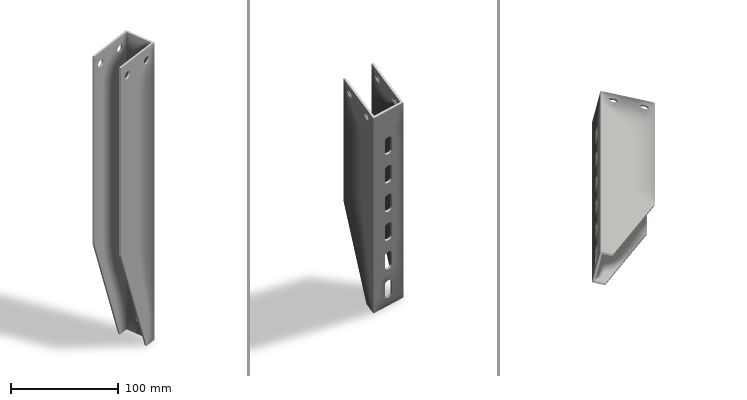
import cadquery as cq

height = 340.0
width = 33.0
depth = 52.0
thickness = 2.0

toe_depth = 12.2
taper_height = 125.0

slot_count = 6
slot_length = 30.0
slot_width = 7.5
slot_pitch = 50.0
lowest_slot_z = 29.0

hole_diameter = 8.0
hole_drop = 13.5
first_hole_setback = 12.2
hole_spacing = 30.0

back_y = depth / 2
front_y = -depth / 2


def channel():
    """Side outline extruded across the width, with the inside removed."""
    outline = [
        (back_y, 0),
        (back_y, height),
        (front_y, height),
        (front_y, taper_height),
        (back_y - toe_depth, 0),
    ]
    body = cq.Workplane("YZ").polyline(outline).close().extrude(width / 2, both=True)
    inside = (
        cq.Workplane("XY")
        .box(width - 2 * thickness, depth, height, centered=(True, True, False))
        .translate((0, -thickness, 0))
    )
    return body.cut(inside)


def web_slots():
    """Row of vertical slots that pass through the web."""
    centers = [(0, lowest_slot_z + i * slot_pitch) for i in range(slot_count)]
    return (
        cq.Workplane("XZ", origin=(0, back_y, 0))
        .pushPoints(centers)
        .slot2D(slot_length, slot_width, 90)
        .extrude(thickness, both=True)
    )


def flange_holes():
    """Two holes along X that pass through both flanges."""
    first_y = back_y - first_hole_setback
    hole_z = height - hole_drop
    centers = [(first_y, hole_z), (first_y - hole_spacing, hole_z)]
    return cq.Workplane("YZ").pushPoints(centers).circle(hole_diameter / 2).extrude(width, both=True)


result = channel().cut(web_slots()).cut(flange_holes())